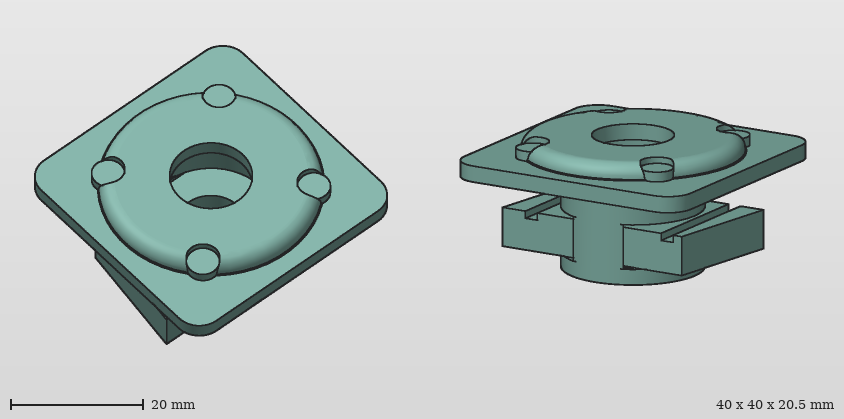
import cadquery as cq

flange_side = 40.0
flange_corner_radius = 4.0
flange_bottom = 15.5
flange_top = 18.0
barrel_diameter = 21.8
barrel_bore_diameter = 19.8

peg_diameter = 5.0
peg_height = 1.5
peg_spacing = 22.0

overall_height = 20.5
cover_height = overall_height - flange_top
cover_bore_diameter = 12.5
lip_diameter = 34.25
lip_height = 0.15
rim_inset = 0.15
rim_radius = cover_height - lip_height
peg_hole_diameter = 5.1

slider_width = 19.45
slider_bottom = 2.9
slider_height = 6.1
slider_hole_diameter = 10.1
slider_long_reach = 17.1
slider_short_reach = 14.6
groove_width = 2.1
groove_depth = 1.1
groove_offset = 12.0

side_clearance = 0.25
vertical_clearance = 0.45
window_width = slider_width + 2 * side_clearance
window_bottom = slider_bottom - vertical_clearance
window_height = slider_height + 2 * vertical_clearance


def peg_cylinders(diameter, height):
    """Four upright cylinders standing on the flange top."""
    return (
        cq.Workplane("XY", origin=(0, 0, flange_top))
        .rect(peg_spacing, peg_spacing, forConstruction=True)
        .vertices()
        .circle(diameter / 2)
        .extrude(height)
    )


def make_housing():
    flange = (
        cq.Workplane("XY", origin=(0, 0, flange_bottom))
        .rect(flange_side, flange_side)
        .extrude(flange_top - flange_bottom)
        .edges("|Z")
        .fillet(flange_corner_radius)
    )
    barrel = cq.Workplane("XY").circle(barrel_diameter / 2).extrude(flange_bottom)
    bore = cq.Workplane("XY").circle(barrel_bore_diameter / 2).extrude(flange_top)
    window = (
        cq.Workplane("XY", origin=(0, 0, window_bottom))
        .rect(window_width, flange_side)
        .extrude(window_height)
    )
    pegs = peg_cylinders(peg_diameter, peg_height)
    return flange.union(barrel).cut(bore).cut(window).union(pegs)


def make_cover():
    lip_radius = lip_diameter / 2
    rim_outer = lip_radius - rim_inset
    rim_inner = rim_outer - rim_radius
    lip_top = flange_top + lip_height
    arc_offset = rim_radius * 0.5 ** 0.5
    body = (
        cq.Workplane("XZ")
        .moveTo(cover_bore_diameter / 2, flange_top)
        .lineTo(lip_radius, flange_top)
        .lineTo(lip_radius, lip_top)
        .lineTo(rim_outer, lip_top)
        .threePointArc((rim_inner + arc_offset, lip_top + arc_offset), (rim_inner, overall_height))
        .lineTo(cover_bore_diameter / 2, overall_height)
        .close()
        .revolve(360, (0, 0), (0, 1))
    )
    return body.cut(peg_cylinders(peg_hole_diameter, cover_height))


def make_slider():
    half_width = slider_width / 2
    bar = (
        cq.Workplane("XY", origin=(0, 0, slider_bottom))
        .polyline([
            (-half_width, -slider_short_reach),
            (half_width, -slider_long_reach),
            (half_width, slider_short_reach),
            (-half_width, slider_long_reach),
        ])
        .close()
        .extrude(slider_height)
    )
    hole = (
        cq.Workplane("XY", origin=(0, 0, slider_bottom))
        .circle(slider_hole_diameter / 2)
        .extrude(slider_height)
    )
    grooves = (
        cq.Workplane("XY", origin=(0, 0, slider_bottom + slider_height - groove_depth))
        .pushPoints([(0, -groove_offset), (0, groove_offset)])
        .rect(slider_width, groove_width)
        .extrude(groove_depth)
    )
    return bar.cut(hole).cut(grooves)


housing = make_housing()
cover = make_cover()
slider = make_slider()

result = cq.Compound.makeCompound([housing.val(), cover.val(), slider.val()])